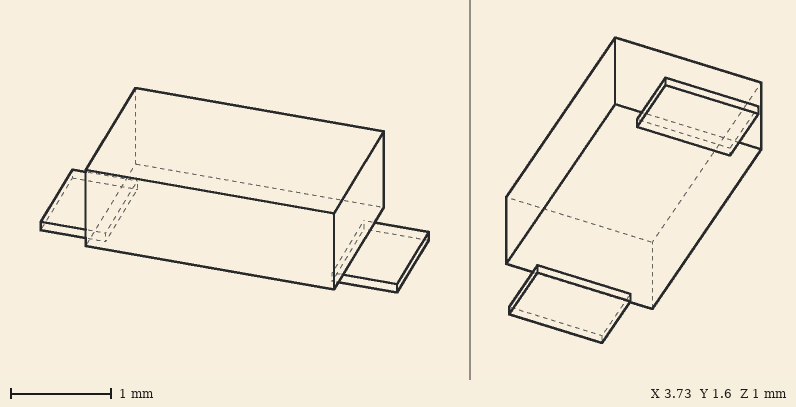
import cadquery as cq

overall_length = 3.73
overall_height = 1.0

housing_length = 2.6
housing_width = 1.6

lead_length = 0.68
lead_width = 1.02
lead_thickness = 0.1

housing_height = overall_height - lead_thickness
lead_offset = (overall_length - lead_length) / 2


def make_housing():
    """Plain block resting on top of the leads."""
    return (
        cq.Workplane("XY")
        .workplane(offset=lead_thickness)
        .rect(housing_length, housing_width)
        .extrude(housing_height)
    )


def make_lead(side):
    """Flat lead at the -X end (side = -1) or the +X end (side = 1)."""
    return (
        cq.Workplane("XY")
        .center(side * lead_offset, 0)
        .rect(lead_length, lead_width)
        .extrude(lead_thickness)
    )


housing = make_housing()
leads = [make_lead(side) for side in (-1, 1)]

result = cq.Compound.makeCompound([housing.val(), *[lead.val() for lead in leads]])